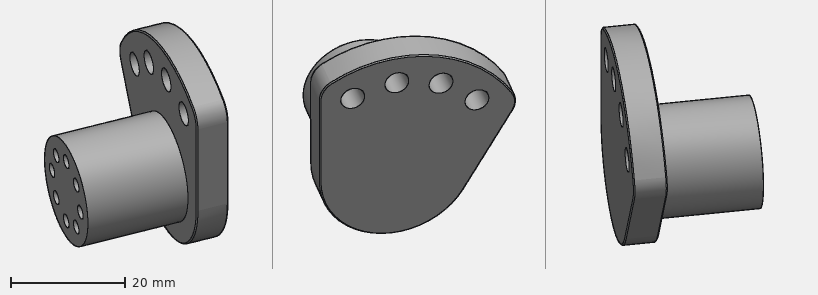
import cadquery as cq
import math

hub_radius = 14.0
rim_radius = 38.5 - hub_radius
corner_radius = 4.0
left_flank_normal = 210
plate_thickness = 6.0
edge_chamfer = 0.25

total_depth = 24.9
boss_diameter = 20.0

rim_hole_diameter = 4.3
rim_hole_circle_radius = 18.98
rim_hole_angles = (65, 90, 115, 140)

end_hole_count = 8
end_hole_diameter = 2.5
end_hole_circle_radius = 6.5
end_hole_depth = 6.0
drill_point_angle = 118


def polar(radius, angle):
    """Point at a radius and an angle in degrees around the boss axis."""
    return (radius * math.cos(math.radians(angle)), radius * math.sin(math.radians(angle)))


def offset(point, radius, angle):
    """Point moved by a radius in the direction of an angle in degrees."""
    step = polar(radius, angle)
    return (point[0] + step[0], point[1] + step[1])


def make_plate():
    corner_center_radius = rim_radius - corner_radius
    right_corner_angle = math.degrees(math.acos((hub_radius - corner_radius) / corner_center_radius))
    left_corner_angle = left_flank_normal - right_corner_angle
    right_corner = polar(corner_center_radius, right_corner_angle)
    left_corner = polar(corner_center_radius, left_corner_angle)
    rim_middle_angle = left_flank_normal / 2

    outline = (
        cq.Workplane("XZ")
        .moveTo(*polar(hub_radius, 0))
        .lineTo(*offset(right_corner, corner_radius, 0))
        .threePointArc(
            offset(right_corner, corner_radius, right_corner_angle / 2),
            polar(rim_radius, right_corner_angle),
        )
        .threePointArc(polar(rim_radius, rim_middle_angle), polar(rim_radius, left_corner_angle))
        .threePointArc(
            offset(left_corner, corner_radius, (left_corner_angle + left_flank_normal) / 2),
            offset(left_corner, corner_radius, left_flank_normal),
        )
        .lineTo(*polar(hub_radius, left_flank_normal))
        .threePointArc(polar(hub_radius, rim_middle_angle + 180), polar(hub_radius, 0))
        .close()
    )
    return outline.extrude(plate_thickness).faces("<Y or >Y").edges().chamfer(edge_chamfer)


def make_boss():
    return cq.Workplane("XZ").circle(boss_diameter / 2).extrude(total_depth)


def make_rim_holes():
    centers = [polar(rim_hole_circle_radius, angle) for angle in rim_hole_angles]
    return cq.Workplane("XZ").pushPoints(centers).circle(rim_hole_diameter / 2).extrude(plate_thickness)


def make_end_hole(center):
    radius = end_hole_diameter / 2
    point_length = radius / math.tan(math.radians(drill_point_angle / 2))
    profile = (
        cq.Workplane("XY")
        .polyline([
            (0, 0),
            (radius, 0),
            (radius, end_hole_depth),
            (0, end_hole_depth + point_length),
        ])
        .close()
    )
    hole = profile.revolve(360, (0, 0, 0), (0, 1, 0))
    return hole.translate((center[0], -total_depth, center[1]))


result = make_plate().union(make_boss()).cut(make_rim_holes())
for index in range(end_hole_count):
    hole_center = polar(end_hole_circle_radius, index * 360 / end_hole_count)
    result = result.cut(make_end_hole(hole_center))